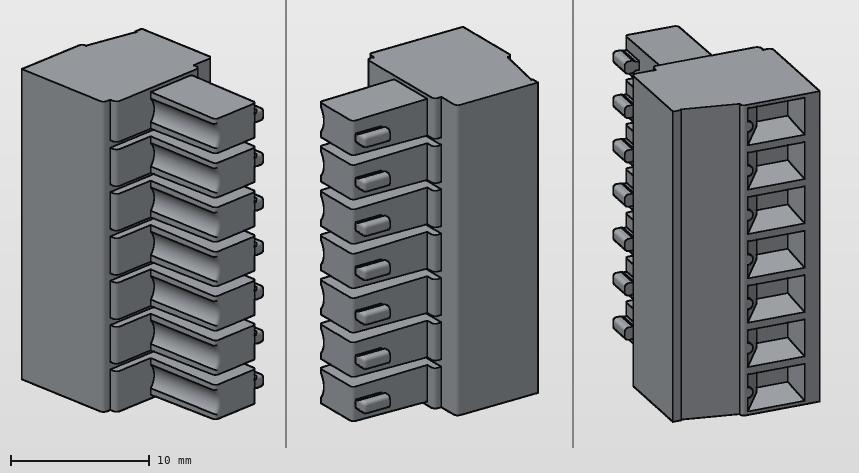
import cadquery as cq

length = 24.5
pole_count = 7
pitch = length / pole_count

housing_width = 11.1
lip_x = 1.15
slope_start_x = 1.27
slope_start_y = 10.44
slope_end_x = 0.4
slope_end_y = 6.17
nose_radius = 0.3
shoulder_x = 8.3
step_x = 8.95
step_low_y = 0.69
step_high_y = 9.19
corner_radius = 0.35

tip_x = 15.5
finger_low_y = 4.16
finger_high_y = 8.33
finger_base_height = 2.92
finger_tip_height = 2.72
finger_tip_radius = 0.3
channel_diameter = 2.8
channel_mouth = 1.85

key_start_x = 13.0
key_end_x = 15.25
key_top_y = 9.48
key_head_y = 8.85
key_stem_y = 8.6
key_head_height = 0.98
key_stem_height = 0.69
key_corner_radius = 0.3
key_end_radius = 0.27

mouth_height = 2.92
wall_slope = 0.21
entry_sections = [(0.0, 1.2, 5.7), (1.95, 1.37, 4.12), (2.47, 1.4, 4.0)]
pin_radius = 0.42


def make_housing():
    outline = (
        cq.Workplane("XY")
        .lineTo(shoulder_x, 0)
        .lineTo(shoulder_x, step_low_y)
        .lineTo(step_x, step_low_y)
        .lineTo(step_x, step_high_y)
        .lineTo(shoulder_x, step_high_y)
        .lineTo(shoulder_x, housing_width)
        .lineTo(lip_x, housing_width)
        .lineTo(lip_x, slope_start_y)
        .lineTo(slope_start_x, slope_start_y)
        .lineTo(slope_end_x, slope_end_y)
        .lineTo(nose_radius, slope_end_y)
        .radiusArc((0, slope_end_y - nose_radius), -nose_radius)
        .close()
    )
    body = outline.extrude(length)
    rounded_corners = [
        (shoulder_x, 0),
        (step_x, step_low_y),
        (step_x, step_high_y),
        (shoulder_x, housing_width),
    ]
    for x, y in rounded_corners:
        corner = cq.selectors.NearestToPointSelector((x, y, length / 2))
        body = body.edges(corner).fillet(corner_radius)
    return body


def finger_height(x):
    """Height of a finger at a given X."""
    taper = (finger_base_height - finger_tip_height) / (tip_x - shoulder_x)
    return finger_base_height - taper * (x - shoulder_x)


def make_step_gap(z):
    """Gap through the raised band between two fingers, centred on z."""
    inner = pitch - finger_height(shoulder_x)
    outer = pitch - finger_height(step_x)
    return (
        cq.Workplane("XZ")
        .polyline([
            (shoulder_x, z - inner / 2),
            (step_x, z - outer / 2),
            (step_x, z + outer / 2),
            (shoulder_x, z + inner / 2),
        ])
        .close()
        .extrude(-housing_width)
    )


def make_finger(z):
    base = finger_base_height / 2
    tip = finger_tip_height / 2
    finger = (
        cq.Workplane("XZ", origin=(0, finger_low_y, z))
        .polyline([(shoulder_x, -base), (tip_x, -tip), (tip_x, tip), (shoulder_x, base)])
        .close()
        .extrude(finger_low_y - finger_high_y)
    )
    channel_radius = channel_diameter / 2
    axis_offset = (channel_radius**2 - (channel_mouth / 2) ** 2) ** 0.5
    channel = (
        cq.Workplane("YZ", origin=(step_x, finger_low_y - axis_offset, z))
        .circle(channel_radius)
        .extrude(tip_x - step_x)
    )
    finger = finger.cut(channel)
    return finger.faces(">X").edges("not |Y").fillet(finger_tip_radius)


def make_key(z):
    """T-shaped key: a rounded head undercut down to a narrower stem."""
    head = key_head_height / 2
    stem = key_stem_height / 2
    key_length = key_end_x - key_start_x
    block = (
        cq.Workplane("XY", origin=(key_start_x, finger_high_y, z - head))
        .box(key_length, key_top_y - finger_high_y, key_head_height, centered=False)
        .edges("|X and >Y")
        .fillet(key_corner_radius)
        .faces(">X")
        .edges("not <Y")
        .fillet(key_end_radius)
    )
    profile = (
        cq.Workplane("YZ", origin=(key_start_x, 0, z))
        .polyline([
            (finger_high_y, -stem),
            (key_stem_y, -stem),
            (key_head_y, -head),
            (key_top_y, -head),
            (key_top_y, head),
            (key_head_y, head),
            (key_stem_y, stem),
            (finger_high_y, stem),
        ])
        .close()
        .extrude(key_length)
    )
    return block.intersect(profile)


def make_wire_entry(z):
    """Tapered pocket with flat walls, less the pin left standing in it."""
    depths = [section[0] for section in entry_sections]
    low_side = [(depth, low_y) for depth, low_y, high_y in entry_sections]
    high_side = [(depth, high_y) for depth, low_y, high_y in entry_sections]
    plan = (
        cq.Workplane("XY", origin=(0, 0, z - mouth_height / 2))
        .polyline(low_side + high_side[::-1])
        .close()
        .extrude(mouth_height)
    )
    half_mouth = mouth_height / 2
    floor_depth = depths[-1]
    half_floor = half_mouth - wall_slope * floor_depth
    profile = (
        cq.Workplane("XZ", origin=(0, 0, z))
        .polyline([
            (0, -half_mouth),
            (floor_depth, -half_floor),
            (floor_depth, half_floor),
            (0, half_mouth),
        ])
        .close()
        .extrude(-housing_width)
    )
    pin = (
        cq.Workplane("YZ", origin=(0, high_side[0][1], z))
        .circle(pin_radius)
        .extrude(floor_depth)
    )
    return plan.intersect(profile).cut(pin)


result = make_housing()
for gap in range(1, pole_count):
    result = result.cut(make_step_gap(gap * pitch))
for pole in range(pole_count):
    pole_z = (pole + 0.5) * pitch
    result = result.cut(make_wire_entry(pole_z))
    result = result.union(make_finger(pole_z)).union(make_key(pole_z))